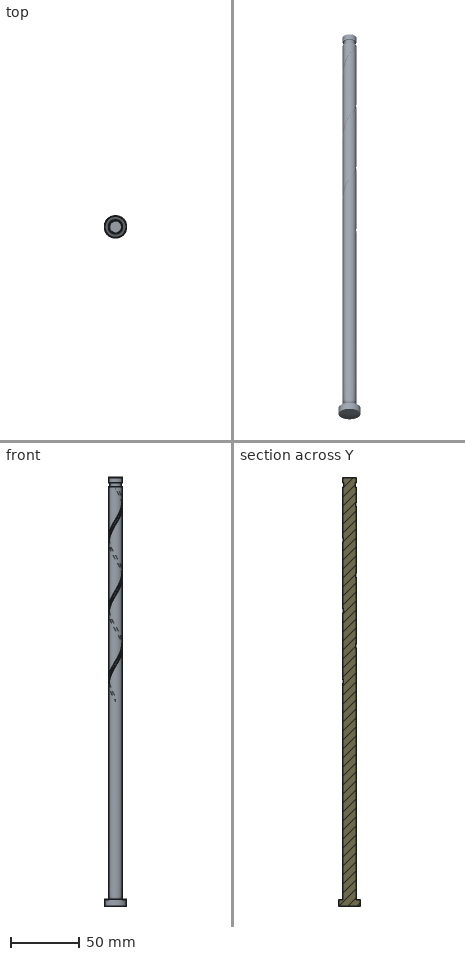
import cadquery as cq

total_length = 315.0
head_diameter = 16.0
head_height = 5.0
shaft_diameter = 10.0
shaft_radius = shaft_diameter / 2

tip_height = 4.0
neck_height = 2.8
neck_diameter = 8.5
neck_bottom = total_length - tip_height - neck_height

helix_pitch = 52.0
helix_turns = 3
helix_height = helix_pitch * helix_turns
helix_bottom = neck_bottom - helix_height
helix_start_angle = 90.0
oil_groove_height = 3.0
oil_groove_depth = 0.3
cutter_overshoot = 0.47


def make_pin():
    """Stepped round body: head, shaft, neck and tip stacked along Z."""
    steps = [
        (head_diameter, head_height),
        (shaft_diameter, neck_bottom - head_height),
        (neck_diameter, neck_height),
        (shaft_diameter, tip_height),
    ]
    pin = cq.Workplane("XY")
    bottom = 0.0
    for diameter, height in steps:
        step = cq.Workplane("XY", origin=(0, 0, bottom)).circle(diameter / 2).extrude(height)
        pin = pin.union(step)
        bottom += height
    return pin


def make_oil_groove_cutter():
    """Rectangular section swept along the helix."""
    helix = cq.Wire.makeHelix(helix_pitch, helix_height, shaft_radius)
    section_width = oil_groove_depth + cutter_overshoot
    section_center = shaft_radius + (cutter_overshoot - oil_groove_depth) / 2
    cutter = (
        cq.Workplane("XZ")
        .center(section_center, 0)
        .rect(section_width, oil_groove_height)
        .sweep(cq.Workplane(obj=helix), isFrenet=True)
    )
    return cutter.rotate((0, 0, 0), (0, 0, 1), helix_start_angle).translate((0, 0, helix_bottom))


result = make_pin().cut(make_oil_groove_cutter())